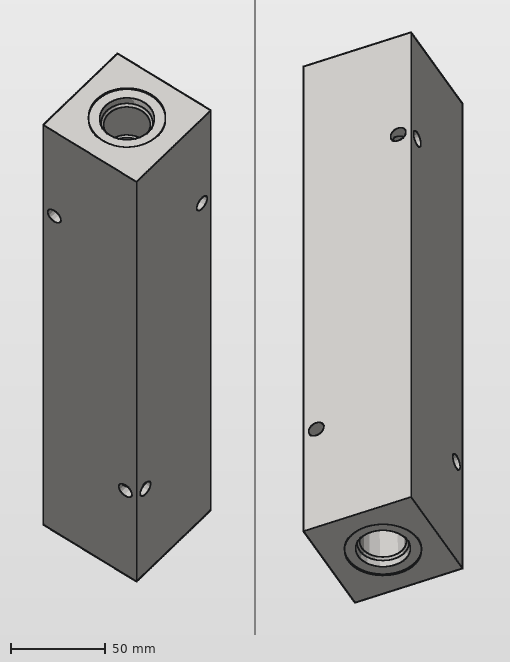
import cadquery as cq

length = 330.2
width = 63.5

bore_diameter = 22.0
spotface_diameter = 41.0
spotface_depth = 1.0
seal_mouth_diameter = 29.0
seal_throat_diameter = 27.5
seal_depth = 3.5
thread_diameter = 24.8
lead_in_depth = (seal_throat_diameter - thread_diameter) / 2
thread_depth = 23.0
drill_tip_depth = 0.5

mount_hole_diameter = 9.0
mount_edge_distance = 7.5
mount_end_distance = 69.7
mount_offset = width / 2 - mount_edge_distance


def port_cutter():
    """Solid removed by the upper port: spotface, tapered seal seat, lead-in and thread drilling."""
    mouth_z = length - spotface_depth
    throat_z = mouth_z - seal_depth
    thread_top_z = throat_z - lead_in_depth
    thread_end_z = thread_top_z - thread_depth
    bore_z = thread_end_z - drill_tip_depth
    profile = [
        (0, length),
        (spotface_diameter / 2, length),
        (spotface_diameter / 2, mouth_z),
        (seal_mouth_diameter / 2, mouth_z),
        (seal_throat_diameter / 2, throat_z),
        (thread_diameter / 2, thread_top_z),
        (thread_diameter / 2, thread_end_z),
        (bore_diameter / 2, bore_z),
        (0, bore_z),
    ]
    return cq.Workplane("XZ").polyline(profile).close().revolve(360, (0, 0), (0, 1))


def mount_hole_along_y(x, z):
    """Cylinder through the full width of the block, parallel to Y."""
    return (
        cq.Workplane("XZ")
        .center(x, z)
        .circle(mount_hole_diameter / 2)
        .extrude(width / 2, both=True)
    )


block = cq.Workplane("XY").rect(width, width).extrude(length)
bore = cq.Workplane("XY").circle(bore_diameter / 2).extrude(length)
top_port = port_cutter()
bottom_port = top_port.mirror("XY", (0, 0, length / 2))
result = block.cut(bore).cut(top_port).cut(bottom_port)

for x, z in [
    (-mount_offset, length - mount_end_distance),
    (mount_offset, mount_end_distance),
]:
    hole_along_y = mount_hole_along_y(x, z)
    hole_along_x = hole_along_y.rotate((0, 0, 0), (0, 0, 1), -90)
    result = result.cut(hole_along_y).cut(hole_along_x)